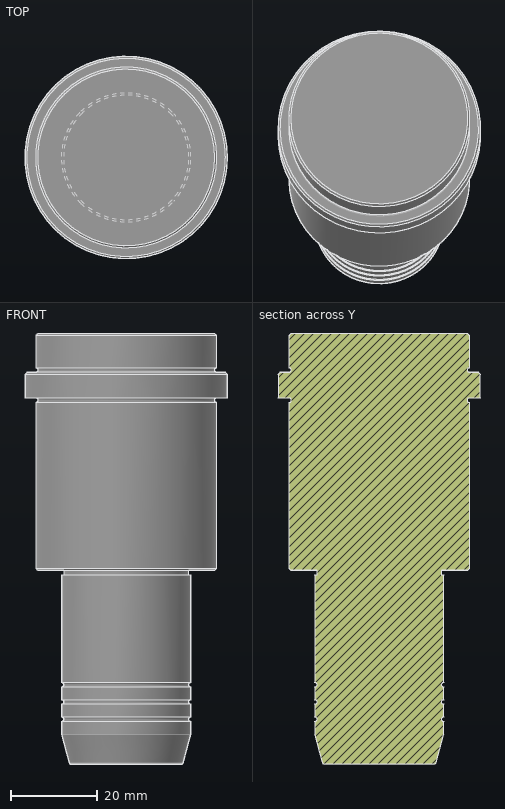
import cadquery as cq
import math

total_height = 100.0

body_radius = 21.0
head_height = 9.0
flange_radius = 23.5
flange_thickness = 6.0
body_height = 40.0
edge_chamfer = 0.5
flange_chamfer = 0.5

flange_top_z = total_height - head_height
flange_bottom_z = flange_top_z - flange_thickness
body_bottom_z = flange_bottom_z - body_height

spigot_radius = 15.0
taper_height = 7.0
taper_angle = 15.0
tip_radius = spigot_radius - taper_height * math.tan(math.radians(taper_angle))
tip_fillet = 0.5
undercut_depth = 0.5
undercut_height = 1.0

groove_radius = 0.5
spigot_groove_count = 3
spigot_groove_pitch = 4.0
lowest_spigot_groove_z = 10.5


def cylinder(radius, bottom_z, top_z):
    """Solid cylinder on the Z axis between two heights."""
    return cq.Workplane("XY").workplane(offset=bottom_z).circle(radius).extrude(top_z - bottom_z)


def revolve_section(section):
    """Revolve a closed section, drawn as radius against height, about the Z axis."""
    return section.close().revolve(360, (0, 0), (0, 1))


def groove_cutter(cylinder_radius, center_z):
    """Ring with a half-round section that cuts a groove into a cylinder."""
    section = (
        cq.Workplane("XZ")
        .moveTo(cylinder_radius, center_z - groove_radius)
        .threePointArc(
            (cylinder_radius - groove_radius, center_z),
            (cylinder_radius, center_z + groove_radius),
        )
    )
    return revolve_section(section)


def make_body():
    """Head and body as one cylinder, chamfered at both ends and grooved beside the flange."""
    body = cylinder(body_radius, body_bottom_z, total_height).edges().chamfer(edge_chamfer)
    for center_z in (flange_top_z + groove_radius, flange_bottom_z - groove_radius):
        body = body.cut(groove_cutter(body_radius, center_z))
    return body


def make_flange():
    """Flange disc, chamfered on its upper rim."""
    flange = cylinder(flange_radius, flange_bottom_z, flange_top_z)
    return flange.faces(">Z").edges().chamfer(flange_chamfer)


def make_spigot():
    """Spigot with a rounded, tapered tip, an undercut and evenly spaced grooves."""
    undercut_radius = spigot_radius - undercut_depth
    undercut_bottom_z = body_bottom_z - undercut_height
    section = cq.Workplane("XZ").polyline([
        (0, 0),
        (tip_radius, 0),
        (spigot_radius, taper_height),
        (spigot_radius, undercut_bottom_z),
        (undercut_radius, undercut_bottom_z),
        (undercut_radius, body_bottom_z),
        (0, body_bottom_z),
    ])
    spigot = revolve_section(section).faces("<Z").edges().fillet(tip_fillet)
    for index in range(spigot_groove_count):
        center_z = lowest_spigot_groove_z + index * spigot_groove_pitch
        spigot = spigot.cut(groove_cutter(spigot_radius, center_z))
    return spigot


result = make_body().union(make_flange()).union(make_spigot())